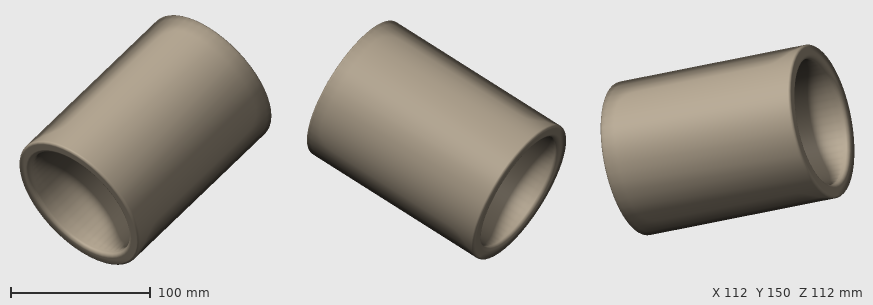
import cadquery as cq

length = 150.0
outer_diameter = 112.0
bore_diameter = 92.1
outer_rounding = 2.0
bore_rounding = 3.0

outer_radius = outer_diameter / 2
bore_radius = bore_diameter / 2


def y_cylinder(radius):
    """Solid cylinder along Y, centred on the origin."""
    start = cq.Workplane("XZ", origin=(0, length / 2, 0))
    return start.circle(radius).extrude(length)


blank = y_cylinder(outer_radius).faces("<Y or >Y").edges().fillet(outer_rounding)

tube = blank.cut(y_cylinder(bore_radius))
bore_rims = cq.selectors.RadiusNthSelector(0)
result = tube.faces("<Y or >Y").edges(bore_rims).fillet(bore_rounding)